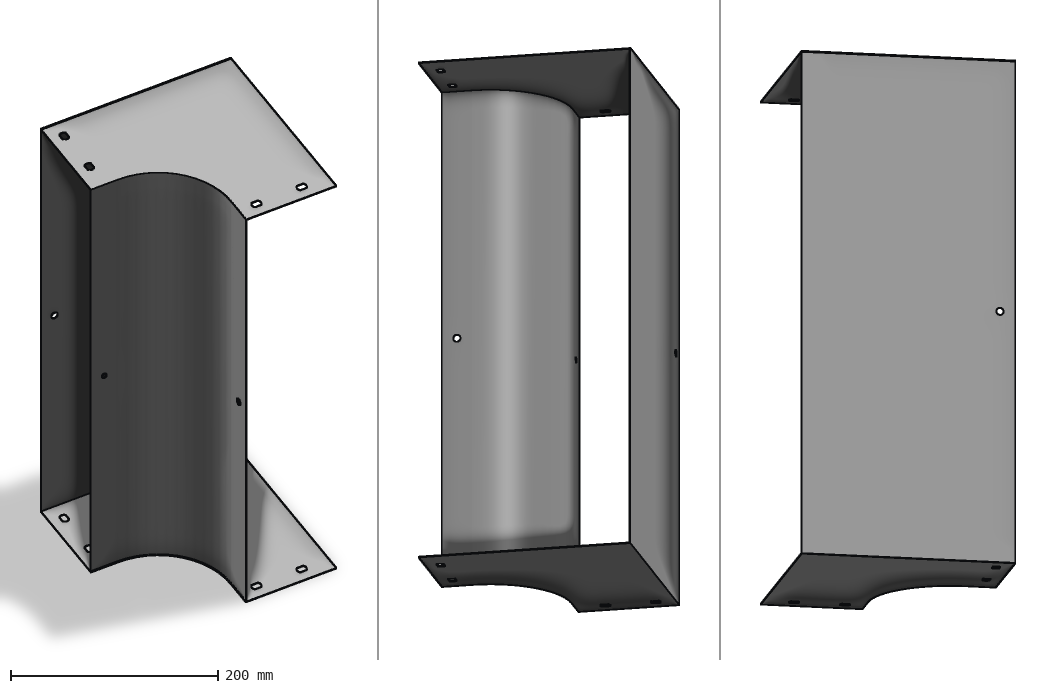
import cadquery as cq

side = 210.0
height = 500.0
leg_width = 100.0
straight_length = 30.0
sheet = 1.0
bend_radius = side - leg_width - straight_length

hole_inset = 15.0
wall_hole_diameter = 7.0
inner_x_hole_diameter = 5.0
slot_length = 10.0
slot_width = 7.0
slot_pitch = 50.0
first_slot_from_left = 20.0
first_slot_from_back = 30.0

half_side = side / 2
left = front = -half_side
right = back = half_side
inner_x = left + leg_width
inner_y = back - leg_width


def elbow_profile(inset, open_overrun):
    """L outline inset at the walls and extended past the three open sides."""
    end_x = right + open_overrun
    end_y = front - open_overrun
    back_y = back + open_overrun
    bend_x = right - straight_length
    bend_y = front + straight_length
    wall_x = inner_x - inset
    wall_y = inner_y + inset
    radius = bend_radius + inset
    diagonal = radius * 0.5**0.5
    return (
        cq.Workplane("XY")
        .moveTo(left + inset, end_y)
        .lineTo(wall_x, end_y)
        .lineTo(wall_x, bend_y)
        .threePointArc((bend_x - diagonal, bend_y + diagonal), (bend_x, wall_y))
        .lineTo(end_x, wall_y)
        .lineTo(end_x, back_y)
        .lineTo(left + inset, back_y)
        .close()
    )


def sheet_shell():
    """Top and bottom plates joined by the left wall and the curved inner wall."""
    overrun = 5.0
    outside = elbow_profile(0, 0).extrude(height)
    cavity = elbow_profile(sheet, overrun).extrude(height - 2 * sheet)
    return outside.cut(cavity.translate((0, 0, sheet)))


def double_d_cutter(center, flats_along_x):
    """Full-height round cutter with two parallel flats."""
    round_bar = cq.Workplane("XY").circle(slot_length / 2).extrude(height)
    size_x = slot_length if flats_along_x else slot_width
    size_y = slot_width if flats_along_x else slot_length
    flat_bar = cq.Workplane("XY").rect(size_x, size_y).extrude(height)
    return round_bar.intersect(flat_bar).translate((*center, 0))


def cut_plate_slots(body):
    """Cut double-D slots through both plates, two along each open leg end."""
    for offset in (0, slot_pitch):
        front_center = (left + first_slot_from_left + offset, front + hole_inset)
        right_center = (right - hole_inset, back - first_slot_from_back - offset)
        body = body.cut(double_d_cutter(front_center, True))
        body = body.cut(double_d_cutter(right_center, False))
    return body


def wall_hole(diameter, center, direction):
    """Round cutter through one wall, centred on the sheet at mid height."""
    depth = 4 * sheet
    start = cq.Vector(*center) - cq.Vector(*direction) * (depth / 2)
    return cq.Workplane(cq.Solid.makeCylinder(diameter / 2, depth, start, cq.Vector(*direction)))


mid_z = height / 2
hole_x = right - hole_inset
hole_y = front + hole_inset
along_x = (1, 0, 0)
along_y = (0, 1, 0)

result = (
    cut_plate_slots(sheet_shell())
    .cut(wall_hole(wall_hole_diameter, (left, hole_y, mid_z), along_x))
    .cut(wall_hole(inner_x_hole_diameter, (inner_x, hole_y, mid_z), along_x))
    .cut(wall_hole(wall_hole_diameter, (hole_x, inner_y, mid_z), along_y))
    .translate((0, 0, -mid_z))
)